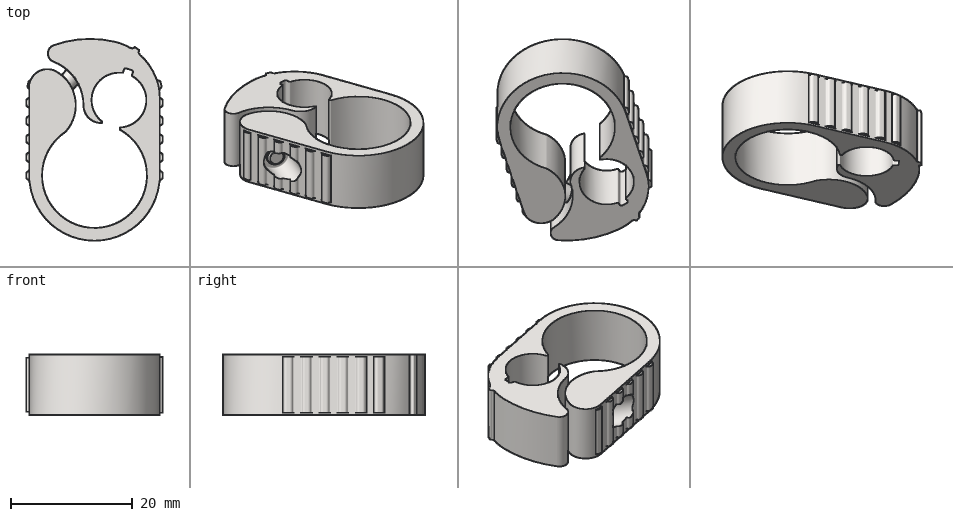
import cadquery as cq
import math

length = 33.25
width_over_ribs = 22.5
height = 10.0
half_height = height / 2

rib_height = 0.5
rib_width = 1.5
rib_corner_radius = 0.5
rib_root_fillet = 0.2
rib_pitch = 3.0
straight_rib_count = 5
left_rib_length = 8.95
right_rib_length = 9.2
root_depth = 0.33

half_width = width_over_ribs / 2 - rib_height
side_top_y = 12.65
roof_radius = 17.6
roof_centre_x = -0.73
nose_radius = 1.45

large_bore_radius = 8.6
small_bore_radius = 4.5
small_bore_centre = (4.02, 12.4)
throat_left = 1.25
throat_right = 4.15
throat_fillet = 0.1

lobe_centre = (-9.5, 11.55)
lobe_radius = 6.45
lobe_top_radius = 3.0
gap_width = 1.23
hook_radius = 2.93

keyway_angle = 72.0
keyway_width = 1.5
keyway_reach = 5.32
keyway_corner_radius = 0.3
keyway_mouth_fillet = 0.2
tab_angle = 54.5
tab_width = 1.0
tab_corner_radius = 0.1
tab_root_fillet = 0.4

pin_angle = 48.0
pin_entry_y = 8.35
pin_diameter = 3.0
pin_chamfer = 0.33
pin_protrusion = 0.8
pin_grip_depth = 3.0
pin_clearance_diameter = 3.1
access_bore_diameter = 4.9
access_bore_depth = 3.42
access_floor_fillet = 0.15


def polar(centre, radius, angle):
    """Point at an angle in degrees on a circle."""
    turn = math.radians(angle)
    return (centre[0] + radius * math.cos(turn), centre[1] + radius * math.sin(turn))


def direction(start, end):
    """Angle in degrees of the line from start to end."""
    return math.degrees(math.atan2(end[1] - start[1], end[0] - start[0]))


def arc(wire, centre, radius, start_angle, end_angle):
    """Add an arc, which turns anticlockwise when end_angle is the larger one."""
    middle = polar(centre, radius, (start_angle + end_angle) / 2)
    return wire.threePointArc(middle, polar(centre, radius, end_angle))


def left_apex(first, first_side, second, second_side):
    """Third corner of a triangle, on the left of the base from first to second."""
    base = math.dist(first, second)
    corner = math.acos((first_side**2 + base**2 - second_side**2) / (2 * first_side * base))
    return polar(first, first_side, direction(first, second) + math.degrees(corner))


def angle_at(centre, radius, x):
    """Angle in degrees, from 0 to 180, at which a circle's upper half passes x."""
    return math.degrees(math.acos((x - centre[0]) / radius))


roof_centre = (roof_centre_x, length - half_width - roof_radius)
side_offset = half_width - roof_centre[0]
roof_rise = side_top_y - roof_centre[1]
crown_radius = (roof_radius**2 - side_offset**2 - roof_rise**2) / (2 * (roof_radius - side_offset))
crown_centre = (half_width - crown_radius, side_top_y)


gap_radius = lobe_radius + gap_width
hook_centre = (lobe_centre[0] + gap_radius + hook_radius, lobe_centre[1])

origin = (0, 0)
hook_end = 360 - angle_at(hook_centre, hook_radius, throat_left)
small_start = 360 - angle_at(small_bore_centre, small_bore_radius, throat_left)
small_end = -angle_at(small_bore_centre, small_bore_radius, throat_right)
large_start = angle_at(origin, large_bore_radius, throat_right)
throat_corners = [
    polar(hook_centre, hook_radius, hook_end),
    polar(small_bore_centre, small_bore_radius, small_start),
    polar(small_bore_centre, small_bore_radius, small_end),
    polar(origin, large_bore_radius, large_start),
]


def body_outline():
    crown_end = direction(roof_centre, crown_centre)

    nose_centre = left_apex(lobe_centre, gap_radius + nose_radius, roof_centre, roof_radius - nose_radius)
    roof_end = direction(roof_centre, nose_centre)
    nose_end = direction(nose_centre, lobe_centre) + 360

    lobe_foot = left_apex(lobe_centre, lobe_radius, origin, large_bore_radius)
    lobe_face_start = direction(lobe_centre, lobe_foot)
    large_end = direction(origin, lobe_foot) - 360

    top_centre_x = lobe_top_radius - half_width
    top_offset = top_centre_x - lobe_centre[0]
    top_rise = math.sqrt((lobe_radius - lobe_top_radius) ** 2 - top_offset**2)
    lobe_top_centre = (top_centre_x, lobe_centre[1] + top_rise)
    lobe_face_end = direction(lobe_centre, lobe_top_centre)

    wire = cq.Workplane("XY").workplane(offset=-half_height).moveTo(-half_width, 0)
    wire = arc(wire, origin, half_width, 180, 360)
    wire = wire.lineTo(half_width, side_top_y)
    wire = arc(wire, crown_centre, crown_radius, 0, crown_end)
    wire = arc(wire, roof_centre, roof_radius, crown_end, roof_end)
    wire = arc(wire, nose_centre, nose_radius, roof_end, nose_end)
    wire = arc(wire, lobe_centre, gap_radius, nose_end - 180, 0)
    wire = arc(wire, hook_centre, hook_radius, 180, hook_end)
    wire = wire.lineTo(*polar(small_bore_centre, small_bore_radius, small_start))
    wire = arc(wire, small_bore_centre, small_bore_radius, small_start, small_end)
    wire = wire.lineTo(*polar(origin, large_bore_radius, large_start))
    wire = arc(wire, origin, large_bore_radius, large_start, large_end)
    wire = arc(wire, lobe_centre, lobe_radius, lobe_face_start, lobe_face_end)
    wire = arc(wire, lobe_top_centre, lobe_top_radius, lobe_face_end, 180)
    return wire.close()


def ridge(foot, angle, width, corner_radius, root_fillet, ridge_length):
    """Upright ridge with rounded corners and root fillets, pointing outwards at the given angle."""
    corner_x = width / 2 - corner_radius
    corner_y = rib_height - corner_radius
    rounding = corner_radius + root_fillet

    lean = math.degrees(math.asin((root_fillet - corner_y) / rounding))
    corner = (corner_x, corner_y)
    root = polar(corner, rounding, lean)
    left_corner = (-corner_x, corner_y)
    left_root = (-root[0], root[1])

    base = (*foot, -ridge_length / 2)
    plane = cq.Plane(origin=base, xDir=(*polar(origin, 1, angle - 90), 0), normal=(0, 0, 1))
    wire = cq.Workplane(plane).moveTo(-root[0], -root_depth).lineTo(root[0], -root_depth)
    wire = wire.lineTo(root[0], 0)
    wire = arc(wire, root, root_fillet, 270, 180 + lean)
    wire = arc(wire, corner, corner_radius, lean, 90)
    wire = wire.lineTo(-corner_x, rib_height)
    wire = arc(wire, left_corner, corner_radius, 90, 180 - lean)
    wire = arc(wire, left_root, root_fillet, -lean, -90)
    return wire.close().extrude(ridge_length)


def right_ribs(rib_length):
    """Row of ribs up the right side, the last of them turned to follow the crown."""
    section = (rib_width, rib_corner_radius, rib_root_fillet, rib_length)
    crown_travel = straight_rib_count * rib_pitch - side_top_y
    crown_angle = math.degrees(crown_travel / crown_radius)
    ribs = ridge(polar(crown_centre, crown_radius, crown_angle), crown_angle, *section)
    for index in range(straight_rib_count):
        ribs = ribs.add(ridge((half_width, index * rib_pitch), 0, *section))
    return ribs


def keyway():
    """Slot along the small bore, with rounded floor corners."""
    outwards = cq.Vector(*polar(origin, 1, keyway_angle), 0)
    plane = cq.Plane(origin=(*small_bore_centre, 0), xDir=outwards, normal=(0, 0, 1))
    slot_start = small_bore_radius - keyway_width / 2
    slot = cq.Workplane(plane).center((slot_start + keyway_reach) / 2, 0)
    slot = slot.box(keyway_reach - slot_start, keyway_width, height)
    floor = slot.faces(cq.selectors.DirectionMinMaxSelector(outwards))
    return floor.edges("|Z").fillet(keyway_corner_radius)


def round_corners(body, corners, radius):
    """Fillet the upright edges at the given corner points."""
    for corner in corners:
        upright = body.edges("|Z").edges(cq.selectors.NearestToPointSelector((*corner, 0)))
        body = upright.fillet(radius)
    return body


axis_direction = cq.Vector(*polar(origin, 1, pin_angle), 0)
axis_start = cq.Vector(-half_width, pin_entry_y, 0)
pin_start = access_bore_depth - pin_protrusion

offset = axis_start - cq.Vector(*lobe_centre, 0)
along = offset.dot(axis_direction)
hook_face = -along + math.sqrt(along**2 - offset.dot(offset) + gap_radius**2)
pin_end = hook_face + pin_grip_depth


def along_pin(start, end, diameter):
    """Round bar on the pin's axis."""
    plane = cq.Plane(origin=axis_start + axis_direction * start, xDir=(0, 0, 1), normal=axis_direction)
    return cq.Workplane(plane).circle(diameter / 2).extrude(end - start)


def make_body():
    body = body_outline().extrude(height).cut(keyway())
    mouth_half_angle = math.degrees(math.asin(keyway_width / 2 / small_bore_radius))
    mouth_corners = [
        polar(small_bore_centre, small_bore_radius, keyway_angle + side * mouth_half_angle)
        for side in (-1, 1)
    ]
    body = round_corners(body, mouth_corners, keyway_mouth_fillet)
    body = round_corners(body, throat_corners, throat_fillet)

    tab_foot = polar(crown_centre, crown_radius, tab_angle)
    body = body.union(ridge(tab_foot, tab_angle, tab_width, tab_corner_radius, tab_root_fillet, height))
    body = body.union(right_ribs(right_rib_length))
    body = body.union(right_ribs(left_rib_length).mirror("YZ"))

    access_bore = along_pin(-access_bore_diameter, access_bore_depth, access_bore_diameter)
    floor = access_bore.faces(cq.selectors.DirectionMinMaxSelector(axis_direction))
    body = body.cut(floor.edges().fillet(access_floor_fillet))

    body = body.cut(along_pin(pin_start, hook_face, pin_clearance_diameter))
    return body.cut(along_pin(pin_start, pin_end, pin_diameter))


def make_pin():
    pin = along_pin(pin_start, pin_end, pin_diameter)
    outer_end = pin.faces(cq.selectors.DirectionMinMaxSelector(axis_direction, False))
    return outer_end.edges().chamfer(pin_chamfer)


body = make_body()
pin = make_pin()
result = cq.Compound.makeCompound([body.val(), pin.val()])